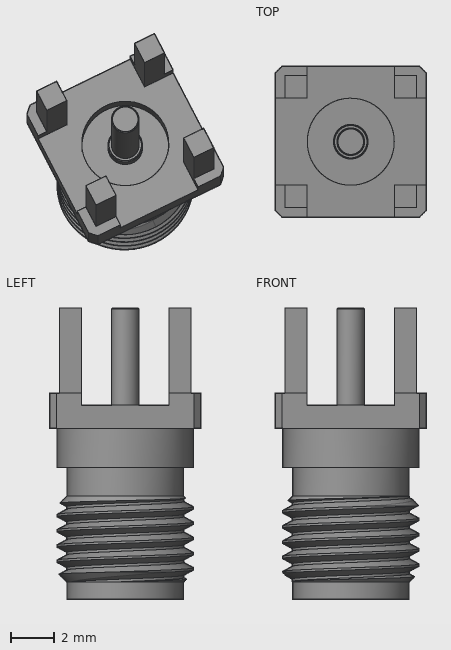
import cadquery as cq
import math

TOTAL_HEIGHT = 13.5
THREAD_BOTTOM = 0.8
THREAD_TOP = 4.79
COLLAR_BOTTOM = 6.1
PLATE_BOTTOM = 7.92
PLATE_TOP = 9.0
PAD_TOP = 9.55

NECK_DIAMETER = 5.4
COLLAR_DIAMETER = 6.33

THREAD_DIAMETER = COLLAR_DIAMETER
THREAD_ROOT_DIAMETER = 5.43
THREAD_PITCH = 25.4 / 36
CREST_FLAT = 0.1
ROOT_FLAT = 0.12
CREST_HEIGHT_AT_PLUS_X = 2.3
CUTTER_OVERLAP = 0.05

PLATE_SIDE = 7.0
PLATE_CORNER_CHAMFER = 0.32
LEG_SIZE = 1.04

WELL_DIAMETER = 4.03
WELL_DEPTH = 0.8
STUB_DIAMETER = 1.6
STUB_HEIGHT = 0.5
PIN_DIAMETER = 1.28
CONTACT_CHAMFER = 0.05

WELL_FLOOR = PLATE_TOP - WELL_DEPTH
LEG_INNER_FACE = WELL_DIAMETER / 2


def cylinder(diameter, bottom, top):
    return cq.Workplane("XY").workplane(offset=bottom).circle(diameter / 2).extrude(top - bottom)


def threaded_rod(bottom, top):
    """Round rod with a helical V groove that covers more than the span from bottom to top."""
    root_radius = THREAD_ROOT_DIAMETER / 2
    crest_radius = THREAD_DIAMETER / 2
    outer_radius = crest_radius + CUTTER_OVERLAP
    root_half_width = ROOT_FLAT / 2
    crest_half_width = (THREAD_PITCH - CREST_FLAT) / 2
    flank_slope = (crest_half_width - root_half_width) / (crest_radius - root_radius)
    outer_half_width = root_half_width + flank_slope * (outer_radius - root_radius)

    groove_height = CREST_HEIGHT_AT_PLUS_X - THREAD_PITCH / 2
    turns_below = math.ceil((groove_height - bottom) / THREAD_PITCH) + 1
    start = groove_height - turns_below * THREAD_PITCH
    helix_length = (math.ceil((top - start) / THREAD_PITCH) + 1) * THREAD_PITCH

    helix = cq.Wire.makeHelix(THREAD_PITCH, helix_length, root_radius, cq.Vector(0, 0, start))
    profile = cq.Workplane("XZ").polyline([
        (root_radius, start - root_half_width),
        (outer_radius, start - outer_half_width),
        (outer_radius, start + outer_half_width),
        (root_radius, start + root_half_width),
    ]).close()
    groove = profile.sweep(cq.Workplane(helix), isFrenet=True)

    rod = cylinder(THREAD_DIAMETER, start - THREAD_PITCH, start + helix_length + THREAD_PITCH)
    return rod.cut(groove)


def thread():
    """Threaded sleeve with 45 degree chamfers from the neck diameter at both ends."""
    end_chamfer = (THREAD_DIAMETER - NECK_DIAMETER) / 2
    envelope = cylinder(THREAD_DIAMETER, THREAD_BOTTOM, THREAD_TOP)
    envelope = envelope.faces("<Z or >Z").chamfer(end_chamfer)
    return threaded_rod(THREAD_BOTTOM, THREAD_TOP).intersect(envelope)


def barrel():
    neck = cylinder(NECK_DIAMETER, 0, COLLAR_BOTTOM)
    collar = cylinder(COLLAR_DIAMETER, COLLAR_BOTTOM, PLATE_BOTTOM)
    return neck.union(thread()).union(collar)


def square_block(side, bottom, top):
    return cq.Workplane("XY").workplane(offset=bottom).rect(side, side).extrude(top - bottom)


def mounting_plate():
    """Chamfered plate, cut by a cross-shaped recess that leaves a pad with a leg at each corner."""
    plate = square_block(PLATE_SIDE, PLATE_BOTTOM, PAD_TOP).edges("|Z").chamfer(PLATE_CORNER_CHAMFER)
    legs = square_block(2 * (LEG_INNER_FACE + LEG_SIZE), PLATE_TOP, TOTAL_HEIGHT)
    channel_width = 2 * LEG_INNER_FACE
    channel_height = TOTAL_HEIGHT - PLATE_TOP
    plate = plate.union(legs)
    for length_x, length_y in ((PLATE_SIDE, channel_width), (channel_width, PLATE_SIDE)):
        channel = (
            cq.Workplane("XY").workplane(offset=PLATE_TOP).rect(length_x, length_y).extrude(channel_height)
        )
        plate = plate.cut(channel)
    return plate


def center_contact():
    """Pin rising from a short stub on the floor of the well."""
    stub_top = WELL_FLOOR + STUB_HEIGHT
    stub = cylinder(STUB_DIAMETER, WELL_FLOOR, stub_top).faces(">Z").chamfer(CONTACT_CHAMFER)
    pin = cylinder(PIN_DIAMETER, WELL_FLOOR, TOTAL_HEIGHT).faces(">Z").chamfer(CONTACT_CHAMFER)
    return stub.union(pin)


well = cylinder(WELL_DIAMETER, WELL_FLOOR, PLATE_TOP)
body = barrel().union(mounting_plate()).cut(well)
result = body.union(center_contact())